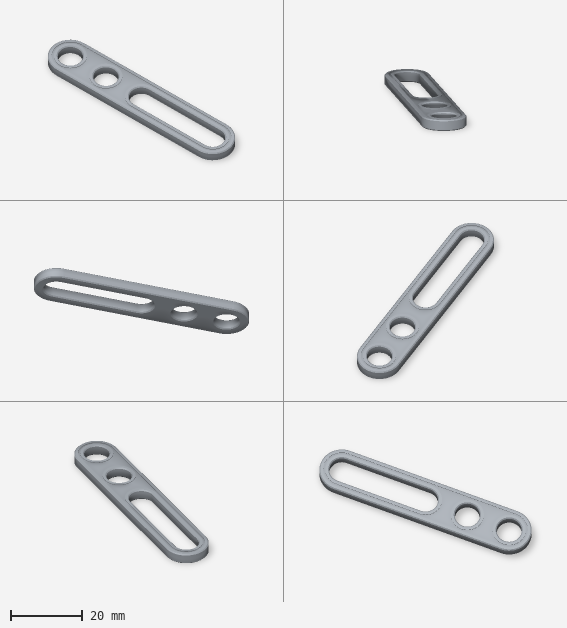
import cadquery as cq

length = 62.5
width = 12.5
thickness = 3.1
edge_chamfer = 0.3

opening_width = 7.0
collar_width = 9.2
pitch = 12.5
first_hole_x = -length / 2 + width / 2
second_hole_x = first_hole_x + pitch
slot_start_x = second_hole_x + pitch
slot_end_x = length / 2 - width / 2

rim_width = 1.05
recess_depth = 0.2

top_z = thickness / 2
recess_floor_z = top_z - recess_depth

opening_spans = [
    (first_hole_x, first_hole_x),
    (second_hole_x, second_hole_x),
    (slot_start_x, slot_end_x),
]


def rounded_bar(start_x, end_x, bar_width, bottom_z, height):
    """Upright round-ended prism around the line from start_x to end_x; a cylinder if they coincide."""
    plane = cq.Workplane("XY", origin=((start_x + end_x) / 2, 0, bottom_z))
    span = end_x - start_x
    if span == 0:
        return plane.circle(bar_width / 2).extrude(height)
    return plane.slot2D(span + bar_width, bar_width).extrude(height)


def chamfered_body():
    """Solid bar with its openings, every top and bottom edge chamfered."""
    body = rounded_bar(first_hole_x, slot_end_x, width, -top_z, thickness)
    for start_x, end_x in opening_spans:
        body = body.cut(rounded_bar(start_x, end_x, opening_width, -top_z, thickness))
    return body.faces("|Z").edges().chamfer(edge_chamfer)


def top_recess():
    """Recess volume inside the rim, leaving a raised collar around each opening."""
    recess = rounded_bar(first_hole_x, slot_end_x, width - 2 * rim_width, recess_floor_z, recess_depth)
    for start_x, end_x in opening_spans:
        recess = recess.cut(rounded_bar(start_x, end_x, collar_width, recess_floor_z, recess_depth))
    return recess


result = chamfered_body().cut(top_recess())